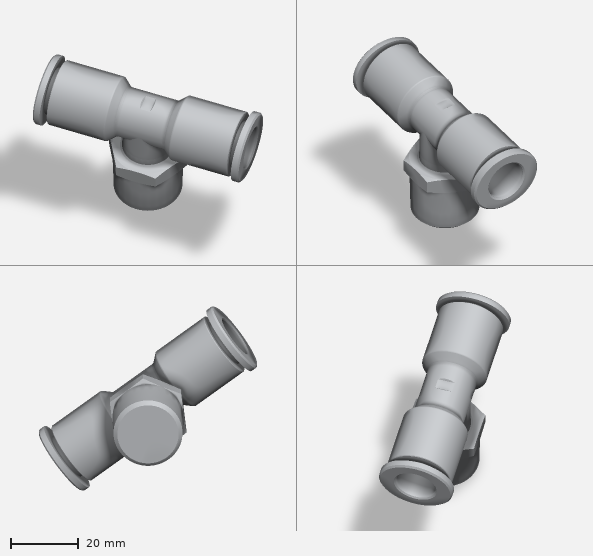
import cadquery as cq
import math

overall_length = 64.4
half_length = overall_length / 2

flange_width = 22.5
flange_height = 19.5
flange_thickness = 2.25
flange_chamfer = 0.5

sleeve_radius = 7.15
sleeve_gap = 1.75

barrel_radius = 9.9
barrel_end_chamfer = 0.2
barrel_inner_x = 10.25
neck_radius = 7.55
neck_half_length = 7.55
shoulder_outer_fillet = 0.65
shoulder_inner_fillet = 1.0

bore_radius = 6.1
bore_chamfer = 0.45
bore_depth = 19.3

notch_floor_z = 7.1
notch_floor_width = 3.1
notch_side_angle = 45.0

collar_top_z = -10.3
collar_bottom_z = -12.6
collar_bottom_radius = 7.65
flare_radius = 8.25

hex_top_z = -12.95
hex_height = 5.1
hex_across_flats = 21.2
hex_corner_drop = 0.65

bottom_z = -32.9
thread_top_radius = 10.5
thread_bottom_radius = 10.2
thread_chamfer = 1.15

hex_bottom_z = hex_top_z - hex_height
hex_corner_radius = hex_across_flats / 2 / math.cos(math.radians(30))
flange_inner_x = half_length - flange_thickness
barrel_outer_x = flange_inner_x - sleeve_gap


def revolve_about_z(points):
    """Solid of revolution about Z from a closed (radius, z) profile."""
    return cq.Workplane("XZ").polyline(points).close().revolve(360, (0, 0, 0), (0, 1, 0))


def fillet_rings(body, ring_x, fillet_radius):
    """Round the two circular edges that lie at X = -ring_x and X = +ring_x."""
    margin = 0.05
    reach = barrel_radius + margin
    for center_x in (-ring_x, ring_x):
        low = (center_x - margin, -reach, -reach)
        high = (center_x + margin, reach, reach)
        ring = cq.selectors.BoxSelector(low, high, boundingbox=True)
        body = body.edges(ring).fillet(fillet_radius)
    return body


def make_body():
    """Barrels and neck, revolved about X, with rounded shoulders."""
    outer_half = [
        (neck_half_length, neck_radius),
        (barrel_inner_x, barrel_radius),
        (barrel_outer_x - barrel_end_chamfer, barrel_radius),
        (barrel_outer_x, barrel_radius - barrel_end_chamfer),
        (barrel_outer_x, 0),
    ]
    mirrored_half = [(-x, radius) for x, radius in reversed(outer_half)]
    body = (
        cq.Workplane("XY")
        .polyline(mirrored_half + outer_half)
        .close()
        .revolve(360, (0, 0, 0), (1, 0, 0))
    )

    body = fillet_rings(body, barrel_inner_x, shoulder_outer_fillet)
    return fillet_rings(body, neck_half_length, shoulder_inner_fillet)


def make_release_end():
    """Sleeve and oval flange at the +X end."""
    sleeve = (
        cq.Workplane("YZ")
        .workplane(offset=barrel_outer_x)
        .circle(sleeve_radius)
        .extrude(sleeve_gap)
    )
    flange = (
        cq.Workplane("YZ")
        .workplane(offset=flange_inner_x)
        .ellipse(flange_width / 2, flange_height / 2)
        .extrude(flange_thickness)
        .faces(">X")
        .edges()
        .chamfer(flange_chamfer)
    )
    return sleeve.union(flange)


def make_bore():
    """Blind tube socket with a chamfered mouth, cut from the +X end."""
    profile = [
        (half_length - bore_depth, 0),
        (half_length - bore_depth, bore_radius),
        (half_length - bore_chamfer, bore_radius),
        (half_length, bore_radius + bore_chamfer),
        (half_length, 0),
    ]
    return cq.Workplane("XY").polyline(profile).close().revolve(360, (0, 0, 0), (1, 0, 0))


def make_notch():
    """Trapezoidal groove across Y that leaves a small flat on top of the neck."""
    top_z = barrel_radius
    side_run = (top_z - notch_floor_z) * math.tan(math.radians(notch_side_angle))
    floor_half = notch_floor_width / 2
    top_half = floor_half + side_run
    profile = [
        (-floor_half, notch_floor_z),
        (floor_half, notch_floor_z),
        (top_half, top_z),
        (-top_half, top_z),
    ]
    return cq.Workplane("XZ").polyline(profile).close().extrude(neck_radius, both=True)


def make_branch():
    """Round stem down to the collar, flaring onto the hexagon."""
    return revolve_about_z([
        (0, 0),
        (neck_radius, 0),
        (neck_radius, collar_top_z),
        (collar_bottom_radius, collar_bottom_z),
        (flare_radius, hex_top_z),
        (0, hex_top_z),
    ])


def make_hexagon():
    """Hexagonal nut with corners along X and conical chamfers on both faces."""
    prism = (
        cq.Workplane("XY")
        .workplane(offset=hex_bottom_z)
        .polygon(6, 2 * hex_corner_radius)
        .extrude(hex_height)
    )
    face_radius = hex_across_flats / 2
    envelope = revolve_about_z([
        (0, hex_bottom_z),
        (face_radius, hex_bottom_z),
        (hex_corner_radius, hex_bottom_z + hex_corner_drop),
        (hex_corner_radius, hex_top_z - hex_corner_drop),
        (face_radius, hex_top_z),
        (0, hex_top_z),
    ])
    return prism.intersect(envelope)


def make_thread_blank():
    """Slightly tapered threaded end with a chamfered tip."""
    return revolve_about_z([
        (0, hex_bottom_z),
        (thread_top_radius, hex_bottom_z),
        (thread_bottom_radius, bottom_z + thread_chamfer),
        (thread_bottom_radius - thread_chamfer, bottom_z),
        (0, bottom_z),
    ])


release_end = make_release_end()
bore = make_bore()

result = make_body().union(make_branch()).cut(make_notch())
result = result.union(make_hexagon()).union(make_thread_blank())
result = result.union(release_end).union(release_end.mirror("YZ"))
result = result.cut(bore).cut(bore.mirror("YZ"))